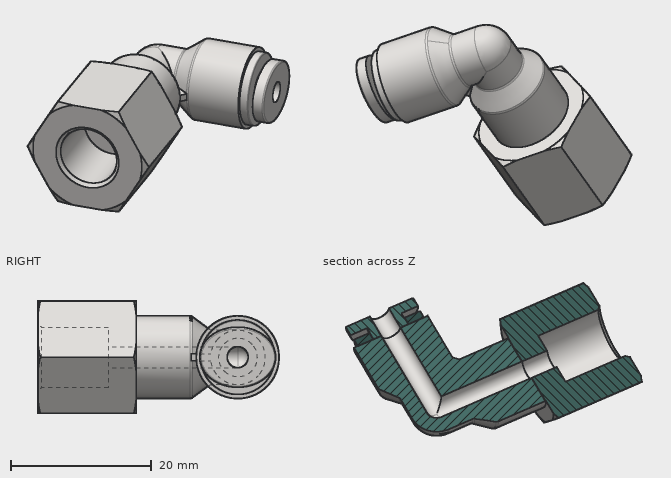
import cadquery as cq
import math


sleeve_diameter = 11.8
tube_diameter = 7.75
arm_length = 14.4
cone_start = tube_diameter / 2
cone_end = 6.62
cone_blend_radius = 0.5
passage_diameter = 3.0
web_thickness = 1.0

nut_flats = 16.0
nut_length = 14.0
nut_chamfer_diameter = 16.53
nut_chamfer_angle = 20.0
nut_bore_diameter = 8.5
nut_bore_depth = 10.0
nut_bore_chamfer = 0.5
nut_corners = nut_flats / math.cos(math.radians(30))

collar_diameter = 10.6
collar_length = 1.2
collar_edge_fillet = 0.1

neck_diameter = 5.5
ring_gap = 0.8
flange_long_axis = 10.8
flange_short_axis = 8.58
flange_end = 18.0
flange_edge_fillet = 0.2

collar_end = arm_length + collar_length
flange_start = collar_end + ring_gap
nut_end = arm_length + nut_length


def cylinder_along_x(diameter, start, end):
    """Cylinder on the X axis between two stations."""
    return cq.Workplane("YZ", origin=(start, 0, 0)).circle(diameter / 2).extrude(end - start)


def turn_to_inlet(shape):
    """Turn a shape lying along +X so that it lies along -Y."""
    return shape.rotate((0, 0, 0), (0, 0, 1), -90)


def make_arm():
    """Solid arm along +X: tube, blended cone and sleeve."""
    tube_radius = tube_diameter / 2
    sleeve_radius = sleeve_diameter / 2
    cone_angle = math.atan2(sleeve_radius - tube_radius, cone_end - cone_start)
    tangent_length = cone_blend_radius * math.tan(cone_angle / 2)
    along = tangent_length * math.cos(cone_angle)
    outward = tangent_length * math.sin(cone_angle)
    profile = (
        cq.Workplane("XY")
        .lineTo(0, tube_radius)
        .lineTo(cone_start - tangent_length, tube_radius)
        .tangentArcPoint((cone_start + along, tube_radius + outward), relative=False)
        .lineTo(cone_end - along, sleeve_radius - outward)
        .tangentArcPoint((cone_end + tangent_length, sleeve_radius), relative=False)
        .lineTo(arm_length, sleeve_radius)
        .lineTo(arm_length, 0)
        .close()
    )
    return profile.revolve(360, (0, 0, 0), (1, 0, 0))


def make_web():
    """Flat web that fills the inner corner between the two cones."""
    sleeve_radius = sleeve_diameter / 2
    return (
        cq.Workplane("XY")
        .polyline([
            (0, 0),
            (cone_start, 0),
            (cone_end, -sleeve_radius),
            (sleeve_radius, -cone_end),
            (0, -cone_start),
        ])
        .close()
        .extrude(web_thickness / 2, both=True)
    )


def make_passage():
    """Bent flow passage with a ball-shaped corner."""
    outlet = cylinder_along_x(passage_diameter, 0, flange_end)
    inlet = turn_to_inlet(cylinder_along_x(passage_diameter, 0, nut_end))
    corner = cq.Workplane("XY").sphere(passage_diameter / 2)
    return corner.union(outlet).union(inlet)


def make_elbow():
    """Elbow with two equal arms, a ball-shaped corner and a web, holed by the passage."""
    arm = make_arm()
    corner = cq.Workplane("XY").sphere(tube_diameter / 2)
    elbow = corner.union(arm).union(turn_to_inlet(arm)).union(make_web())
    return elbow.cut(make_passage())


def make_nut():
    """Hexagonal nut on the inlet arm, chamfered at both ends, with a blind bore."""
    end_plane = cq.Workplane("YZ", origin=(arm_length, 0, 0))
    hexagon = end_plane.polygon(6, nut_corners).extrude(nut_length)
    corner_radius = nut_corners / 2
    face_radius = nut_chamfer_diameter / 2
    chamfer_length = (corner_radius - face_radius) * math.tan(math.radians(nut_chamfer_angle))
    chamfer_envelope = (
        cq.Workplane("XY")
        .polyline([
            (arm_length, 0),
            (arm_length, face_radius),
            (arm_length + chamfer_length, corner_radius),
            (nut_end - chamfer_length, corner_radius),
            (nut_end, face_radius),
            (nut_end, 0),
        ])
        .close()
        .revolve(360, (0, 0, 0), (1, 0, 0))
    )
    bore = cylinder_along_x(nut_bore_diameter, nut_end - nut_bore_depth, nut_end)
    nut = hexagon.intersect(chamfer_envelope).cut(bore)
    smallest_rim = cq.selectors.RadiusNthSelector(0)
    nut = nut.faces(">X").edges(smallest_rim).chamfer(nut_bore_chamfer)
    return turn_to_inlet(nut).cut(make_passage())


def make_collar():
    """Collar on the outlet face, holed for the neck of the release ring."""
    collar = cylinder_along_x(collar_diameter, arm_length, collar_end)
    collar = collar.faces(">X").edges().fillet(collar_edge_fillet)
    return collar.cut(cylinder_along_x(neck_diameter, arm_length, collar_end))


def make_release_ring():
    """Round neck with an oval flange that is longer along Y."""
    neck = cylinder_along_x(neck_diameter, arm_length, flange_start)
    flange = (
        cq.Workplane("YZ", origin=(flange_start, 0, 0))
        .ellipse(flange_long_axis / 2, flange_short_axis / 2)
        .extrude(flange_end - flange_start)
        .faces(">X")
        .edges()
        .fillet(flange_edge_fillet)
    )
    return neck.union(flange).cut(make_passage())


elbow = make_elbow().solids().val()
nut = make_nut().solids().val()
collar = make_collar().solids().val()
release_ring = make_release_ring().solids().val()

result = cq.Compound.makeCompound([elbow, nut, collar, release_ring])